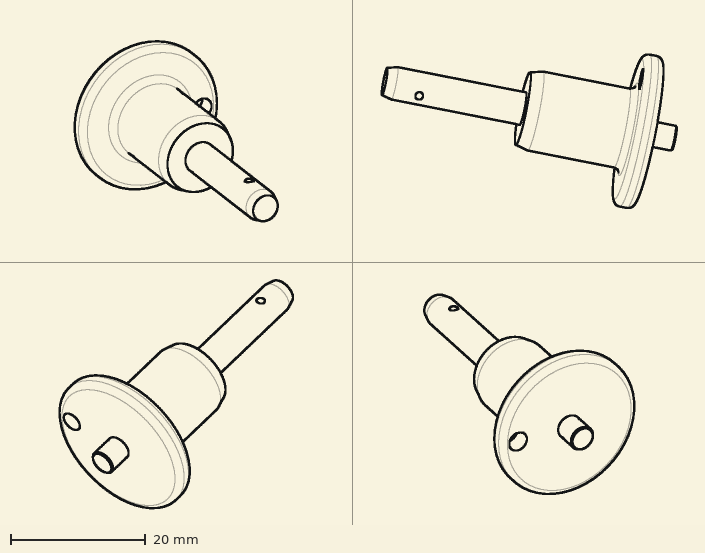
import cadquery as cq
import math

TOTAL_LENGTH = 44.0

BUTTON_LENGTH = 4.0
BUTTON_RADIUS = 1.9
BUTTON_CHAMFER = 0.18

FLANGE_RADIUS = 23.0 / 2
FLANGE_THICKNESS = 3.0
FLANGE_ROUNDING = 0.95
BARREL_RADIUS = 6.0
NECK_FILLET = 1.0
GRIP_LENGTH = 19.0
BARREL_TAPER_LENGTH = 1.9

KEYRING_HOLE_DIAMETER = 3.0
KEYRING_HOLE_OFFSET = 8.7

SHANK_RADIUS = 2.45
SHANK_END = TOTAL_LENGTH - BUTTON_LENGTH
TIP_LENGTH = 1.5
TAPER_ANGLE = 15.0

BALL_PROTRUSION = 0.25
BALL_RIM_RADIUS = 0.55
BALL_RADIUS = (BALL_RIM_RADIUS**2 + BALL_PROTRUSION**2) / (2 * BALL_PROTRUSION)
BALL_X = 34.75
BALL_CENTRE_Z = SHANK_RADIUS + BALL_PROTRUSION - BALL_RADIUS


def taper_drop(length):
    """Loss of radius over a taper of the given length."""
    return length * math.tan(math.radians(TAPER_ANGLE))


def along_x(start, end, radius):
    """Cylinder on the X axis between two stations."""
    return cq.Workplane("YZ").workplane(offset=start).circle(radius).extrude(end - start)


def make_grip():
    flange = along_x(0, FLANGE_THICKNESS, FLANGE_RADIUS).edges().fillet(FLANGE_ROUNDING)
    neck_end = FLANGE_THICKNESS + NECK_FILLET
    taper_start = GRIP_LENGTH - BARREL_TAPER_LENGTH
    fillet_mid = NECK_FILLET * (1 - math.sqrt(0.5))
    barrel = (
        cq.Workplane("XY")
        .moveTo(0, 0)
        .lineTo(0, BARREL_RADIUS + NECK_FILLET)
        .lineTo(FLANGE_THICKNESS, BARREL_RADIUS + NECK_FILLET)
        .threePointArc(
            (FLANGE_THICKNESS + fillet_mid, BARREL_RADIUS + fillet_mid),
            (neck_end, BARREL_RADIUS),
        )
        .lineTo(taper_start, BARREL_RADIUS)
        .lineTo(GRIP_LENGTH, BARREL_RADIUS - taper_drop(BARREL_TAPER_LENGTH))
        .lineTo(GRIP_LENGTH, 0)
        .close()
        .revolve(360, (0, 0, 0), (1, 0, 0))
    )
    keyring_hole = along_x(0, FLANGE_THICKNESS, KEYRING_HOLE_DIAMETER / 2)
    return flange.union(barrel).cut(keyring_hole.translate((0, KEYRING_HOLE_OFFSET, 0)))


def make_button():
    return along_x(-BUTTON_LENGTH, 0, BUTTON_RADIUS).faces("<X").chamfer(BUTTON_CHAMFER)


def make_shank():
    return (
        cq.Workplane("XY")
        .moveTo(GRIP_LENGTH, 0)
        .lineTo(GRIP_LENGTH, SHANK_RADIUS)
        .lineTo(SHANK_END - TIP_LENGTH, SHANK_RADIUS)
        .lineTo(SHANK_END, SHANK_RADIUS - taper_drop(TIP_LENGTH))
        .lineTo(SHANK_END, 0)
        .close()
        .revolve(360, (0, 0, 0), (1, 0, 0))
    )


def make_ball(side):
    """Locking ball; side is +1 for above the axis and -1 for below."""
    return cq.Workplane("XY").sphere(BALL_RADIUS).translate((BALL_X, 0, side * BALL_CENTRE_Z))


balls = [make_ball(side) for side in (1, -1)]

pin = make_grip().union(make_button()).union(make_shank())
for ball in balls:
    pin = pin.cut(ball)

result = cq.Compound.makeCompound([pin.solids().val(), *[ball.val() for ball in balls]])